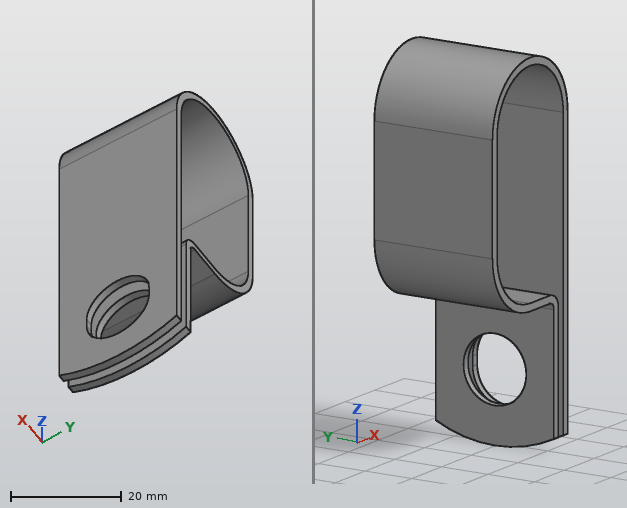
import cadquery as cq

height = 76.1
loop_width = 25.3
strap_width = 25.4
thickness = 1.5
tab_gap = 1.6
loop_bottom = 28.6
bend_inner_radius = 1.4

hole_diameter = 13.5
slot_length = 15.45
hole_height = 14.2
tip_rise = 3.0

outer_radius = loop_width / 2
inner_radius = outer_radius - thickness
bend_outer_radius = bend_inner_radius + thickness
upper_center = height - outer_radius
lower_center = loop_bottom + outer_radius
floor_top = loop_bottom + thickness
short_tab_right = inner_radius - tab_gap
short_tab_left = short_tab_right - thickness
bend_x = short_tab_right - bend_outer_radius
bend_z = loop_bottom - bend_inner_radius


def make_strap():
    """Constant-thickness strip: long tab, loop, floor, bend and short tab."""
    return (
        cq.Workplane("XZ")
        .moveTo(outer_radius, 0)
        .lineTo(outer_radius, upper_center)
        .threePointArc((0, height), (-outer_radius, upper_center))
        .lineTo(-outer_radius, lower_center)
        .radiusArc((0, loop_bottom), -outer_radius)
        .lineTo(bend_x, loop_bottom)
        .radiusArc((short_tab_left, bend_z), bend_inner_radius)
        .lineTo(short_tab_left, 0)
        .lineTo(short_tab_right, 0)
        .lineTo(short_tab_right, bend_z)
        .radiusArc((bend_x, floor_top), -bend_outer_radius)
        .lineTo(0, floor_top)
        .radiusArc((-inner_radius, lower_center), inner_radius)
        .lineTo(-inner_radius, upper_center)
        .threePointArc((0, height - thickness), (inner_radius, upper_center))
        .lineTo(inner_radius, 0)
        .close()
        .extrude(strap_width / 2, both=True)
    )


def make_side_outline():
    """Block with the rounded lower tip, used to trim both tabs."""
    half_width = strap_width / 2
    return (
        cq.Workplane("YZ")
        .moveTo(-half_width, height)
        .lineTo(-half_width, tip_rise)
        .threePointArc((0, 0), (half_width, tip_rise))
        .lineTo(half_width, height)
        .close()
        .extrude(outer_radius, both=True)
    )


def make_hole():
    """Cutter for the round bolt hole in the short tab."""
    return (
        cq.Workplane("YZ", origin=(short_tab_right, 0, hole_height))
        .circle(hole_diameter / 2)
        .extrude(-thickness)
    )


def make_slot():
    """Cutter for the upright adjustment slot in the long tab."""
    return (
        cq.Workplane("YZ", origin=(outer_radius, 0, hole_height))
        .slot2D(slot_length, hole_diameter, 90)
        .extrude(-thickness)
    )


result = (
    make_strap()
    .intersect(make_side_outline())
    .cut(make_hole())
    .cut(make_slot())
)